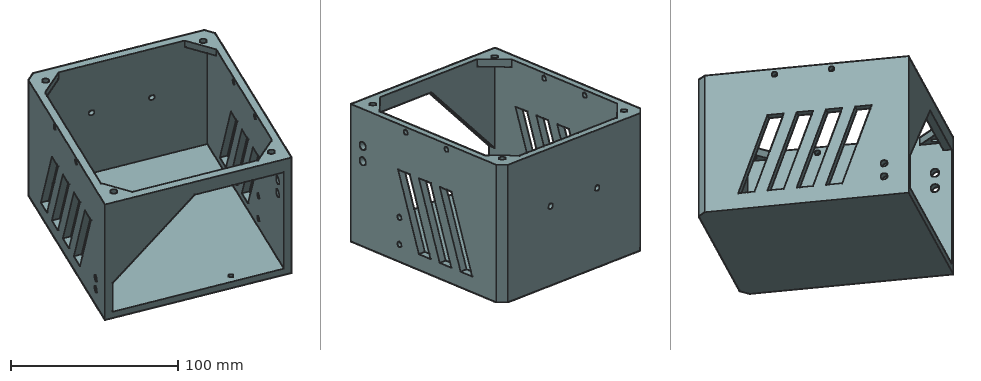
import cadquery as cq

length = 130.0
width = 120.0
height = 90.0
wall = height / 18
corner_chamfer = wall

gusset_leg = 14.5
gusset_hole_diameter = 4.2
gusset_hole_inset = 9.4

side_rim_depth = 10.0
side_knee_y = -2.3

vent_width = 10.0
vent_height = 49.7
vent_slant = 18.0
vent_pitch = 18.0
vent_start_x = -39.5
vent_base_z = 10.4
front_vent_count = 4
back_vent_count = 3

rim_hole_diameter = 3.2
rim_hole_depth_below_top = 3.5
rim_hole_xs = (-17.3, 17.7)

front_hole_diameter = 4.2
front_hole_centres = [(49.9, 12.4), (49.9, 20.9)]

back_small_hole_diameter = 3.4
back_small_hole_centres = [(23.1, 11.5), (23.1, 29.1)]
back_large_hole_diameter = 5.2
back_large_hole_centres = [(54.7, 55.8), (54.7, 65.8)]

left_hole_diameter = 3.6
left_hole_y = 19.4
left_hole_z = 52.0

floor_hole_diameter = 3.0
floor_hole_x = 59.5
floor_hole_y = 23.1
floor_hole_depth = wall / 2

inner_length = length - 2 * wall
inner_width = width - 2 * wall
front_y = -width / 2
back_y = width / 2 - wall


def shell():
    """Box with chamfered -X corners, hollow between the floor and the top rim."""
    outer = cq.Workplane("XY").box(length, width, height, centered=(True, True, False))
    outer = outer.edges("|Z and <X").chamfer(corner_chamfer)
    cavity = (
        cq.Workplane("XY")
        .workplane(offset=wall)
        .rect(inner_length, inner_width)
        .extrude(height - 2 * wall)
    )
    opening = (
        cq.Workplane("XY")
        .workplane(offset=height - wall)
        .rect(inner_length, inner_width)
        .extrude(wall)
        .edges("|Z")
        .chamfer(gusset_leg)
    )
    return outer.cut(cavity).cut(opening)


def wall_prism(sketch_points, start_y):
    """Prism through one Y wall from an outline of (x, z) points."""
    plane = cq.Workplane("XZ", origin=(0, start_y, 0))
    return plane.polyline(sketch_points).close().extrude(-wall)


def wall_holes(centres, diameter, start_y):
    """Round holes through one Y wall at (x, z) centres."""
    plane = cq.Workplane("XZ", origin=(0, start_y, 0))
    return plane.pushPoints(centres).circle(diameter / 2).extrude(-wall)


def cut_vents(body, count, start_y):
    for index in range(count):
        left = vent_start_x + index * vent_pitch
        top_left = left + vent_slant
        top_z = vent_base_z + vent_height
        outline = [
            (left, vent_base_z),
            (left + vent_width, vent_base_z),
            (top_left + vent_width, top_z),
            (top_left, top_z),
        ]
        body = body.cut(wall_prism(outline, start_y))
    return body


def side_opening():
    """Opening through the +X wall with a 45 degree lower edge on its -Y side."""
    top_z = height - side_rim_depth
    slope_end_z = top_z - (side_knee_y + inner_width / 2)
    return (
        cq.Workplane("YZ", origin=(length / 2 - wall, 0, 0))
        .moveTo(inner_width / 2, wall)
        .lineTo(inner_width / 2, top_z)
        .lineTo(side_knee_y, top_z)
        .lineTo(-inner_width / 2, slope_end_z)
        .lineTo(-inner_width / 2, wall)
        .close()
        .extrude(wall)
    )


def gusset_holes():
    return (
        cq.Workplane("XY")
        .workplane(offset=height - wall)
        .rect(length - 2 * gusset_hole_inset, width - 2 * gusset_hole_inset, forConstruction=True)
        .vertices()
        .circle(gusset_hole_diameter / 2)
        .extrude(wall)
    )


def left_holes():
    return (
        cq.Workplane("YZ", origin=(-length / 2, 0, 0))
        .pushPoints([(-left_hole_y, left_hole_z), (left_hole_y, left_hole_z)])
        .circle(left_hole_diameter / 2)
        .extrude(wall)
    )


def floor_hole():
    return (
        cq.Workplane("XY", origin=(floor_hole_x, floor_hole_y, wall - floor_hole_depth))
        .circle(floor_hole_diameter / 2)
        .extrude(floor_hole_depth)
    )


rim_hole_centres = [(x, height - rim_hole_depth_below_top) for x in rim_hole_xs]

result = shell().cut(side_opening()).cut(gusset_holes()).cut(left_holes()).cut(floor_hole())
result = cut_vents(result, front_vent_count, front_y)
result = cut_vents(result, back_vent_count, back_y)
for start_y in (front_y, back_y):
    result = result.cut(wall_holes(rim_hole_centres, rim_hole_diameter, start_y))
result = result.cut(wall_holes(front_hole_centres, front_hole_diameter, front_y))
result = result.cut(wall_holes(back_small_hole_centres, back_small_hole_diameter, back_y))
result = result.cut(wall_holes(back_large_hole_centres, back_large_hole_diameter, back_y))